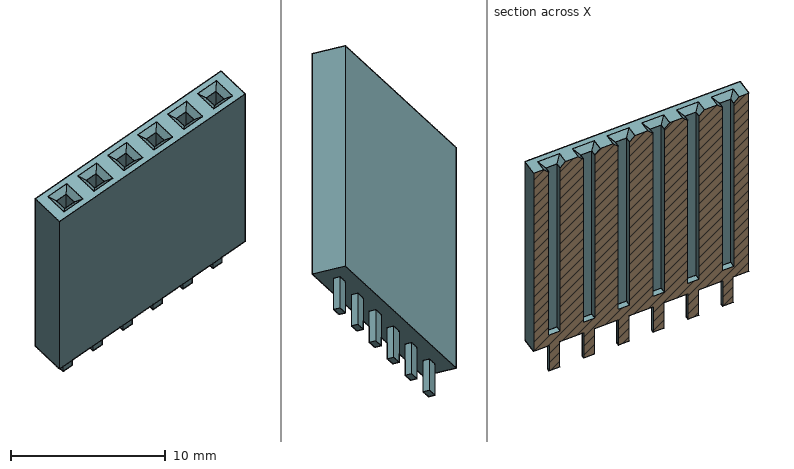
import cadquery as cq

housing_width = 2.41
housing_length = 15.75
total_height = 18.41
pin_length = 2.28
housing_height = total_height - pin_length

contact_count = 6
pitch = 2.54
pin_width = 0.48
pin_breadth = 0.8

mouth_size = 1.6
hole_size = 0.81
mouth_depth = 0.4
hole_depth = 14.73


def make_pin(y):
    """Solder pin hanging below the housing."""
    return (
        cq.Workplane("XY")
        .center(0, y)
        .rect(pin_width, pin_breadth)
        .extrude(-pin_length)
    )


def make_socket(y):
    """Space removed from the top of the housing for one contact."""
    mouth = (
        cq.Workplane("XY", origin=(0, y, housing_height))
        .rect(mouth_size, mouth_size)
        .workplane(offset=-mouth_depth)
        .rect(hole_size, hole_size)
        .loft(ruled=True)
    )
    hole = (
        cq.Workplane("XY", origin=(0, y, housing_height - mouth_depth))
        .rect(hole_size, hole_size)
        .extrude(-hole_depth)
    )
    return mouth.union(hole)


result = cq.Workplane("XY").box(
    housing_width, housing_length, housing_height, centered=(True, True, False)
)
for index in range(contact_count):
    contact_y = (index - (contact_count - 1) / 2) * pitch
    result = result.union(make_pin(contact_y)).cut(make_socket(contact_y))